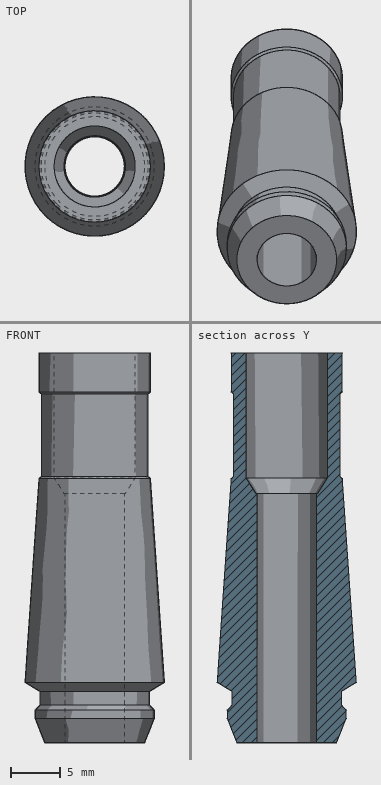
import cadquery as cq

length = 39.4

tip_radius = 5.05
barb_radius = 6.03
groove_radius = 5.55
skirt_radius = 7.05
collar_radius = 5.65
neck_radius = 5.4

barb_bottom = 2.5
barb_top = 3.3
groove_bottom = 3.82
groove_top = 5.2
skirt_edge = 6.1
body_top = 26.7
collar_bottom = length - 3.95

neck_cone_height = 0.2

bore_radius = 3.0
ledge_radius = 3.1
upper_bore_radius = 4.1
seat_bottom = 25.2
seat_height = 1.58


def revolve_outline(points):
    """Revolve a closed outline of (radius, height) points around Z."""
    return cq.Workplane("XZ").polyline(points).close().revolve(360, (0, 0, 0), (0, 1, 0))


def make_outside():
    return revolve_outline([
        (0, 0),
        (tip_radius, 0),
        (barb_radius, barb_bottom),
        (barb_radius, barb_top),
        (groove_radius, groove_bottom),
        (groove_radius, groove_top),
        (skirt_radius, skirt_edge),
        (collar_radius, body_top),
        (neck_radius, body_top + neck_cone_height),
        (neck_radius, collar_bottom - neck_cone_height),
        (collar_radius, collar_bottom),
        (collar_radius, length),
        (0, length),
    ])


def make_passage():
    return revolve_outline([
        (0, 0),
        (bore_radius, 0),
        (bore_radius, seat_bottom),
        (ledge_radius, seat_bottom),
        (upper_bore_radius, seat_bottom + seat_height),
        (upper_bore_radius, length),
        (0, length),
    ])


result = make_outside().cut(make_passage())